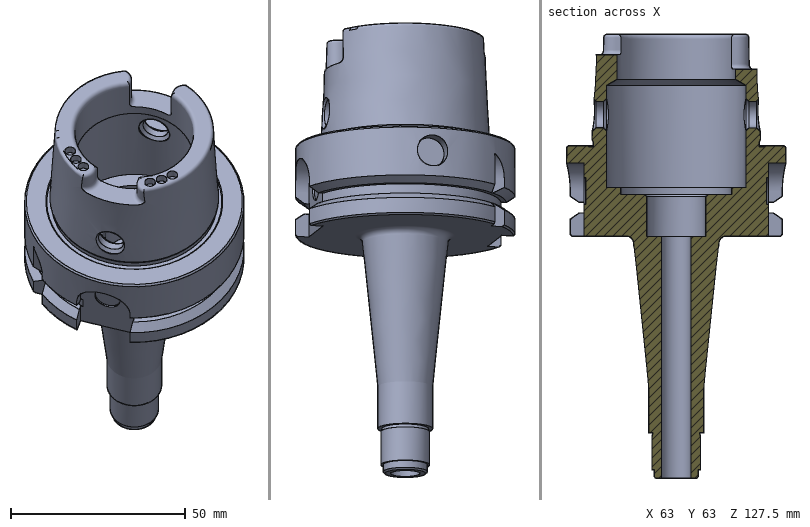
import cadquery as cq
import math


shank_length = 32.0
gauge_diameter = 48.04
gauge_height = 6.3
taper_ratio = 9.98
taper_base_z = 1.8
relief_top_z = 1.1
relief_radius = 23.9
face_relief_radius = 25.4
face_relief_depth = 0.3
rim_fillet = 1.0

flange_radius = 63.0 / 2
flange_thickness = 26.0
flange_edge_chamfer = 0.5
groove_radius = 55.0 / 2
groove_shelf_radius = 29.0
groove_center_z = -17.8
groove_half_floor = 1.5
groove_half_opening = 3.3

neck_fillet = 2.0
neck_top_radius = 24.6 / 2
body_radius = 15.8 / 2
body_top_z = -70.2
body_bottom_z = -82.4
undercut_radius = 13.4 / 2
undercut_bottom_z = -83.3
collar_radius = 14.0 / 2
collar_bottom_z = -93.0
tip_radius = 12.7 / 2
tip_z = -95.5
tip_chamfer = 0.5

mouth_radius = 34.0 / 2
mouth_fillet = 1.3
mouth_bottom_z = 19.0
chamber_radius = 40.0 / 2
clamp_wall_angle = 30.0
chamber_bottom_z = -12.0
floor_radius = 15.9
floor_z = -14.0
thread_radius = 16.92 / 2
thread_bottom_z = -26.0
thread_chamfer = 0.6
through_radius = 8.4 / 2

rim_slot_width = 12.5
rim_slot_corner_radius = 3.5
rim_slot_corner_start = 17.4
rim_slot_floor_fillet = 1.3
rim_slot_front_z = 26.1
rim_slot_rear_z = 22.0

keyway_width = 16.0
keyway_center_z = -13.0
keyway_flat_distance = 26.5
keyway_hole_diameter = 7.5
keyway_hole_depth = 0.5
notch_wall_distance = 20.3
notch_arc_radius = 7.5
notch_arc_center_z = -12.0
chip_hole_diameter = 9.0
chip_hole_depth = 4.6
chip_hole_z = -7.1
access_hole_diameter = 7.5
access_sink_diameter = 9.3
access_hole_z = 8.9

coding_hole_diameter = 3.0
coding_circle_radius = 40.0 / 2
coding_hole_depth = 2.5
coding_point_angle = 118.0
coding_angles = (-60.0, -50.0, -40.0)

block_half_width = flange_radius + 5.0
beyond = flange_radius + 10.0
half_turn = ((0, 0, 0), (0, 0, 1), 180)


def taper_radius(z):
    return (gauge_diameter - (z - gauge_height) / taper_ratio) / 2


def make_outside():
    rim_radius = taper_radius(shank_length - rim_fillet)
    rim_reach = rim_fillet * (1 - math.sqrt(0.5))
    flange_bottom_z = -flange_thickness
    chamfered_radius = flange_radius - flange_edge_chamfer
    fillet_reach = neck_fillet * math.sqrt(0.5)
    profile = (
        cq.Workplane("XZ")
        .moveTo(0, shank_length)
        .lineTo(rim_radius - rim_fillet, shank_length)
        .threePointArc(
            (rim_radius - rim_reach, shank_length - rim_reach),
            (rim_radius, shank_length - rim_fillet),
        )
        .lineTo(taper_radius(taper_base_z), taper_base_z)
        .lineTo(relief_radius, relief_top_z)
        .lineTo(relief_radius, -face_relief_depth)
        .lineTo(face_relief_radius - face_relief_depth, -face_relief_depth)
        .lineTo(face_relief_radius, 0)
        .lineTo(chamfered_radius, 0)
        .lineTo(flange_radius, -flange_edge_chamfer)
        .lineTo(flange_radius, groove_center_z + groove_half_opening)
        .lineTo(groove_shelf_radius, groove_center_z + groove_half_floor)
        .lineTo(groove_radius, groove_center_z + groove_half_floor)
        .lineTo(groove_radius, groove_center_z - groove_half_floor)
        .lineTo(groove_shelf_radius, groove_center_z - groove_half_floor)
        .lineTo(flange_radius, groove_center_z - groove_half_opening)
        .lineTo(flange_radius, flange_bottom_z + flange_edge_chamfer)
        .lineTo(chamfered_radius, flange_bottom_z)
        .lineTo(neck_top_radius + neck_fillet, flange_bottom_z)
        .threePointArc(
            (neck_top_radius + neck_fillet - fillet_reach, flange_bottom_z - neck_fillet + fillet_reach),
            (neck_top_radius, flange_bottom_z - neck_fillet),
        )
        .lineTo(body_radius, body_top_z)
        .lineTo(body_radius, body_bottom_z)
        .lineTo(undercut_radius, body_bottom_z)
        .lineTo(collar_radius, undercut_bottom_z)
        .lineTo(collar_radius, collar_bottom_z)
        .lineTo(tip_radius, collar_bottom_z)
        .lineTo(tip_radius, tip_z + tip_chamfer)
        .lineTo(tip_radius - tip_chamfer, tip_z)
        .lineTo(0, tip_z)
        .close()
    )
    return profile.revolve(360, (0, 0, 0), (0, 1, 0))


def make_inside():
    mouth_reach = mouth_fillet * (1 - math.sqrt(0.5))
    clamp_drop = (chamber_radius - mouth_radius) * math.tan(math.radians(clamp_wall_angle))
    profile = (
        cq.Workplane("XZ")
        .moveTo(0, shank_length)
        .lineTo(mouth_radius + mouth_fillet, shank_length)
        .threePointArc(
            (mouth_radius + mouth_reach, shank_length - mouth_reach),
            (mouth_radius, shank_length - mouth_fillet),
        )
        .lineTo(mouth_radius, mouth_bottom_z)
        .lineTo(chamber_radius, mouth_bottom_z - clamp_drop)
        .lineTo(chamber_radius, chamber_bottom_z)
        .lineTo(floor_radius, chamber_bottom_z)
        .lineTo(floor_radius, floor_z)
        .lineTo(thread_radius + thread_chamfer, floor_z)
        .lineTo(thread_radius, floor_z - thread_chamfer)
        .lineTo(thread_radius, thread_bottom_z)
        .lineTo(through_radius, thread_bottom_z)
        .lineTo(through_radius, tip_z)
        .lineTo(0, tip_z)
        .close()
    )
    return profile.revolve(360, (0, 0, 0), (0, 1, 0))


def make_rim_slot(floor_height):
    """Drive slot opening toward +Y, with the rim ends rounded outward."""
    half = rim_slot_width / 2
    corner = rim_slot_corner_radius
    reach = corner * (1 - math.sqrt(0.5))
    corner_end = rim_slot_corner_start + corner
    corner_middle = corner_end - reach
    return (
        cq.Workplane("XY", origin=(0, 0, floor_height))
        .moveTo(-half, 0)
        .lineTo(half, 0)
        .lineTo(half, rim_slot_corner_start)
        .threePointArc((half + reach, corner_middle), (half + corner, corner_end))
        .lineTo(half + corner, beyond)
        .lineTo(-half - corner, beyond)
        .lineTo(-half - corner, corner_end)
        .threePointArc((-half - reach, corner_middle), (-half, rim_slot_corner_start))
        .close()
        .extrude(shank_length)
        .faces("<Z")
        .edges()
        .fillet(rim_slot_floor_fillet)
    )


def make_slotted_block():
    """Block larger than the part, with both rim slots and their rounded top edges."""
    front_slot = make_rim_slot(rim_slot_front_z).rotate(*half_turn)
    rear_slot = make_rim_slot(rim_slot_rear_z)
    return (
        cq.Workplane("XY", origin=(0, 0, tip_z))
        .rect(2 * block_half_width, 2 * block_half_width)
        .extrude(shank_length - tip_z)
        .cut(front_slot)
        .cut(rear_slot)
        .faces(">Z")
        .edges()
        .fillet(rim_fillet)
    )


def make_keyway():
    """Round-topped keyway toward -Y, open through the bottom of the flange."""
    half = keyway_width / 2
    slot = (
        cq.Workplane("XZ", origin=(0, -keyway_flat_distance, 0))
        .moveTo(-half, -flange_thickness)
        .lineTo(half, -flange_thickness)
        .lineTo(half, keyway_center_z)
        .threePointArc((0, keyway_center_z + half), (-half, keyway_center_z))
        .close()
        .extrude(beyond)
    )
    hole = (
        cq.Workplane("XZ", origin=(0, keyway_hole_depth - keyway_flat_distance, keyway_center_z))
        .circle(keyway_hole_diameter / 2)
        .extrude(beyond)
    )
    return slot.union(hole)


def make_notch():
    """Corner notch in the -X -Y quadrant; its upper end runs out along an arc."""
    arc_center_x = -notch_wall_distance - notch_arc_radius
    reach = notch_arc_radius * math.sqrt(0.5)
    return (
        cq.Workplane("XZ", origin=(0, -notch_wall_distance, 0))
        .moveTo(-notch_wall_distance, -flange_thickness)
        .lineTo(-notch_wall_distance, notch_arc_center_z)
        .threePointArc(
            (arc_center_x + reach, notch_arc_center_z + reach),
            (arc_center_x, notch_arc_center_z + notch_arc_radius),
        )
        .lineTo(-beyond, notch_arc_center_z + notch_arc_radius)
        .lineTo(-beyond, -flange_thickness)
        .close()
        .extrude(beyond)
    )


def make_chip_hole():
    return (
        cq.Workplane("YZ", origin=(chip_hole_depth - flange_radius, 0, chip_hole_z))
        .circle(chip_hole_diameter / 2)
        .extrude(-beyond)
    )


def make_access_hole():
    """Radial hole through the taper wall toward -Y, countersunk at 45 degrees on both sides."""
    bore_radius = access_hole_diameter / 2
    sink_radius = access_sink_diameter / 2
    sink_depth = sink_radius - bore_radius
    outer_y = -taper_radius(access_hole_z)
    inner_y = -chamber_radius
    profile = (
        cq.Workplane("XY")
        .lineTo(sink_radius, 0)
        .lineTo(sink_radius, inner_y)
        .lineTo(bore_radius, inner_y - sink_depth)
        .lineTo(bore_radius, outer_y + sink_depth)
        .lineTo(sink_radius, outer_y)
        .lineTo(sink_radius, -beyond)
        .lineTo(0, -beyond)
        .close()
    )
    hole = profile.revolve(360, (0, 0, 0), (0, 1, 0))
    return hole.translate((0, 0, access_hole_z))


def make_coding_hole(angle):
    radius = coding_hole_diameter / 2
    point = radius / math.tan(math.radians(coding_point_angle / 2))
    bottom = shank_length - coding_hole_depth
    hole = (
        cq.Workplane("XZ")
        .moveTo(0, shank_length)
        .lineTo(radius, shank_length)
        .lineTo(radius, bottom)
        .lineTo(0, bottom - point)
        .close()
        .revolve(360, (0, 0, 0), (0, 1, 0))
    )
    return hole.translate((coding_circle_radius, 0, 0)).rotate((0, 0, 0), (0, 0, 1), angle)


result = make_outside().intersect(make_slotted_block())
result = result.cut(make_inside())

keyway = make_keyway()
result = result.cut(keyway).cut(keyway.rotate(*half_turn))
result = result.cut(make_notch())
result = result.cut(make_chip_hole())
access_hole = make_access_hole()
result = result.cut(access_hole).cut(access_hole.rotate(*half_turn))
for coding_angle in coding_angles:
    result = result.cut(make_coding_hole(coding_angle))
    result = result.cut(make_coding_hole(-180 - coding_angle))